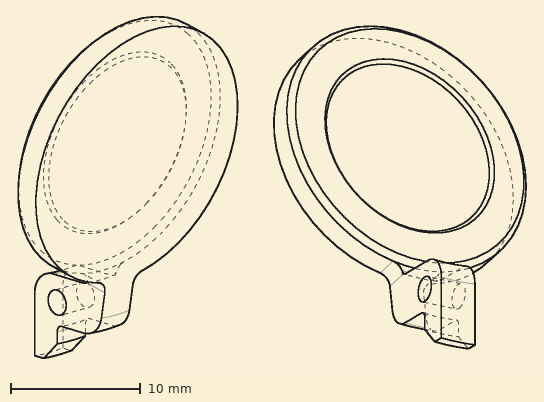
import cadquery as cq
import math

tilt = 10.0
disc_diameter = 21.3
disc_radius = disc_diameter / 2
rim_thickness = 2.0
disc_chamfer = 0.5
disc_thickness = rim_thickness + disc_chamfer
back_top_x = 11.62
overall_height = 28.9

recess_radius = 7.55
recess_depth = 0.3

arm_width = 3.0
arm_sweep = 40.0
leg_width = 2.5
toe_width = 1.0
arm_bottom = 3.0
arm_top = 7.0
corner_radius = 2.0
inner_radius = 0.5
hole_diameter = 2.0
hole_x = leg_width
hole_z = 4.88

neck_radius = 1.0
neck_foot_radius = 0.5

sin_tilt = math.sin(math.radians(tilt))
cos_tilt = math.cos(math.radians(tilt))
tan_tilt = math.tan(math.radians(tilt))

back_top_z = overall_height - rim_thickness * sin_tilt
disc_center_x = back_top_x - disc_radius * sin_tilt
disc_center_z = back_top_z - disc_radius * cos_tilt

disc_plane = cq.Plane(
    origin=(disc_center_x, 0, disc_center_z),
    xDir=(0, 1, 0),
    normal=(-cos_tilt, 0, sin_tilt),
)


def back_face_x(z):
    """X of the sloping back face at height z."""
    return back_top_x - (back_top_z - z) * tan_tilt


def make_disc():
    disc = cq.Workplane(disc_plane).circle(disc_radius).extrude(disc_thickness)
    return disc.faces(cq.selectors.DirectionMinMaxSelector(disc_plane.zDir, True)).chamfer(disc_chamfer)


def make_recess():
    return (
        cq.Workplane(disc_plane)
        .workplane(offset=disc_thickness - recess_depth)
        .circle(recess_radius - recess_depth)
        .workplane(offset=recess_depth)
        .circle(recess_radius)
        .loft()
    )


def make_neck():
    """Straight neck flared by arcs tangent to its sides and to the rim."""
    half_width = arm_width / 2
    arc_center_x = half_width + neck_radius
    center_distance = disc_radius + neck_radius
    arc_center_y = math.sqrt(center_distance**2 - arc_center_x**2)
    rim_x = arc_center_x * disc_radius / center_distance
    rim_y = arc_center_y * disc_radius / center_distance
    foot_y = (disc_center_z - arm_top) / cos_tilt + rim_thickness * tan_tilt
    return (
        cq.Workplane(disc_plane)
        .moveTo(-half_width, foot_y)
        .lineTo(half_width, foot_y)
        .lineTo(half_width, arc_center_y)
        .radiusArc((rim_x, rim_y), -neck_radius)
        .lineTo(0, disc_radius / 2)
        .lineTo(-rim_x, rim_y)
        .radiusArc((-half_width, arc_center_y), -neck_radius)
        .close()
        .extrude(rim_thickness)
    )


def make_arm():
    """Arm with a hanging leg, curved about the disc axis and cut to a flat-sided bar."""
    neck_front_offset = rim_thickness / cos_tilt
    foot_x = back_face_x(arm_top) - neck_front_offset
    stub_top = arm_top + neck_foot_radius
    profile = (
        cq.Workplane("XZ")
        .moveTo(0, 0)
        .lineTo(toe_width, 0)
        .lineTo(leg_width, leg_width - toe_width)
        .lineTo(leg_width, arm_bottom)
        .lineTo(back_face_x(arm_bottom), arm_bottom)
        .lineTo(back_face_x(stub_top), stub_top)
        .lineTo(back_face_x(stub_top) - neck_front_offset, stub_top)
        .lineTo(foot_x, arm_top)
        .lineTo(0, arm_top)
        .close()
        .extrude(arm_width)
    )
    rounded_corners = [
        (0, arm_top, corner_radius),
        (back_face_x(arm_bottom), arm_bottom, corner_radius),
        (leg_width, arm_bottom, inner_radius),
        (foot_x, arm_top, neck_foot_radius),
    ]
    for x, z, radius in rounded_corners:
        corner = cq.selectors.NearestToPointSelector((x, -arm_width / 2, z))
        profile = profile.edges("|Y").edges(corner).fillet(radius)

    section = profile.faces(">Y").val()
    axis_start = disc_plane.origin
    axis_end = disc_plane.origin + disc_plane.zDir
    swept = cq.Solid.revolve(section, arm_sweep, axis_start, axis_end)
    swept = swept.rotate(axis_start, axis_end, -arm_sweep / 2)

    bar = cq.Workplane("XY").box(2 * overall_height, arm_width, 2 * overall_height)
    hole = (
        cq.Workplane("XZ")
        .center(hole_x, hole_z)
        .circle(hole_diameter / 2)
        .extrude(arm_width, both=True)
    )
    return bar.intersect(cq.Workplane(swept)).cut(hole)


result = make_arm().union(make_neck()).union(make_disc()).cut(make_recess())